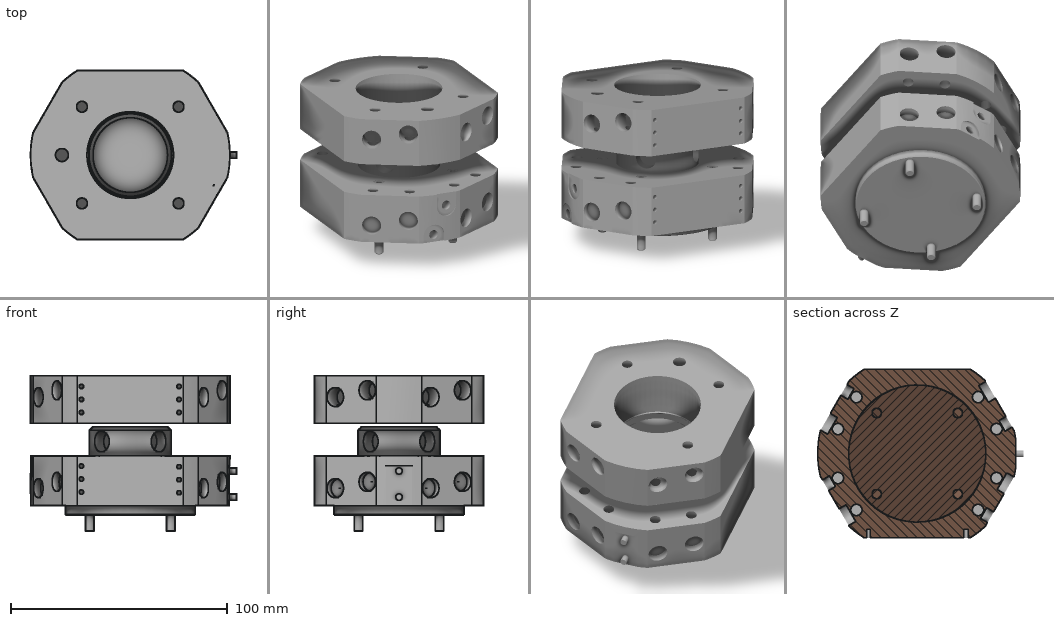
import cadquery as cq
import math


plate_radius = 46.0
side_distance = 39.0
port_face_distance = 44.0
port_face_angles = (30.0, 150.0, 210.0, 330.0)

lower_thickness = 23.0
upper_thickness = 22.0
plate_gap = 15.0
upper_bottom = lower_thickness + plate_gap
upper_top = upper_bottom + upper_thickness

port_diameter = 8.8
port_offset = 8.5
upper_port_depth = 9.3
lower_port_depth = 3.7
upper_port_drops = (6.8, 9.9)
lower_port_drops = (12.0, 14.9)
transfer_diameter = 5.0
transfer_distance = 37.3

side_hole_diameter = 2.0
side_hole_depth = 4.0
side_hole_x = 22.5
side_hole_drops = (5.0, 11.0, 17.0)
lower_left_shift = 0.3

upper_bore_radius = 20.0
bore_lip_radius = 19.25
bore_lip_thickness = 0.15
mount_circle_radius = 31.5
mount_hole_diameter = 5.0
dowel_hole_diameter = 6.0
top_hole_depth = 10.0

hub_radius = 31.5
boss_radius = 19.0
boss_height = 13.5
boss_chamfer = 1.8
pocket_diameter = 9.6
pocket_floor_radius = 12.5
pocket_drop = 6.9
boss_top = lower_thickness + boss_height
collar_radius = 30.0
collar_thickness = 4.3
collar_chamfer = 0.4

screw_offset = 18.7
screw_diameter = 4.0
screw_head_diameter = 9.1
screw_head_height = (screw_head_diameter - screw_diameter) / 2
screw_end = -11.87
screw_end_chamfer = 0.4
head_recess_diameter = 4.9
head_recess_depth = 0.15
socket_across_flats = 2.6
socket_depth = 2.0

pad_floor_x = -45.2
pad_radius = 5.0
pad_offset = 3.2
upper_pad_height = 17.0
lower_pad_height = 3.5
pad_hole_diameter = 4.3
pad_hole_depth = 8.0
drill_point_angle = 118.0

pin_flat_x = 45.6
pin_flat_top = 18.5
pin_diameter = 3.0
pin_start_x = 39.0
pin_end_x = 49.0
pin_heights = (4.0, 16.0)


def cylinder(start, direction, diameter, length):
    """Solid cylinder from a start point along a direction."""
    solid = cq.Solid.makeCylinder(diameter / 2, length, cq.Vector(*start), cq.Vector(*direction))
    return cq.Workplane(solid)


def on_face(angle, distance, offset):
    """XY point at a distance along the face normal and an offset counter-clockwise along the face."""
    a = math.radians(angle)
    x = distance * math.cos(a) - offset * math.sin(a)
    y = distance * math.sin(a) + offset * math.cos(a)
    return x, y


def four_corners(offset):
    """XY points on the two diagonals."""
    return [(sx * offset, sy * offset) for sx in (-1, 1) for sy in (-1, 1)]


def plate_blank(bottom, thickness):
    """Round plate trimmed by two flat sides and two pairs of opposite port faces."""
    blank = cq.Workplane("XY").workplane(offset=bottom).circle(plate_radius).extrude(thickness)
    sides = cq.Workplane("XY").workplane(offset=bottom).rect(2 * plate_radius, 2 * side_distance)
    blank = blank.intersect(sides.extrude(thickness))
    for angle in port_face_angles[:2]:
        faces = cq.Workplane("XY").workplane(offset=bottom).rect(2 * port_face_distance, 2 * plate_radius)
        blank = blank.intersect(faces.extrude(thickness).rotate((0, 0, 0), (0, 0, 1), angle))
    return blank


def cut_ports(plate, top, drops, depth):
    """Two blind ports in each slanted face, the first one of each clockwise pair being the higher."""
    for angle in port_face_angles:
        inward = (-math.cos(math.radians(angle)), -math.sin(math.radians(angle)), 0)
        for offset, drop in zip((port_offset, -port_offset), drops):
            x, y = on_face(angle, port_face_distance, offset)
            plate = plate.cut(cylinder((x, y, top - drop), inward, port_diameter, depth))
    return plate


def cut_transfer_holes(plate, top, drops, mouth):
    """Vertical passages from the mating face (height "mouth") to the port axes."""
    for angle in port_face_angles:
        for offset, drop in zip((port_offset, -port_offset), drops):
            x, y = on_face(angle, transfer_distance, offset)
            rise = top - drop - mouth
            direction = (0, 0, math.copysign(1, rise))
            plate = plate.cut(cylinder((x, y, mouth), direction, transfer_diameter, abs(rise)))
    return plate


def cut_side_holes(plate, top, left_shift):
    """Three small blind holes near each end of the -Y side."""
    for x, shift in ((-side_hole_x, left_shift), (side_hole_x, 0)):
        for drop in side_hole_drops:
            start = (x, -side_distance, top - drop + shift)
            plate = plate.cut(cylinder(start, (0, 1, 0), side_hole_diameter, side_hole_depth))
    return plate


def make_upper_plate():
    plate = plate_blank(upper_bottom, upper_thickness)
    plate = plate.cut(cylinder((0, 0, upper_bottom), (0, 0, 1), 2 * bore_lip_radius, upper_thickness))
    bore_depth = upper_thickness - bore_lip_thickness
    plate = plate.cut(cylinder((0, 0, upper_top), (0, 0, -1), 2 * upper_bore_radius, bore_depth))
    plate = cut_ports(plate, upper_top, upper_port_drops, upper_port_depth)
    plate = cut_transfer_holes(plate, upper_top, upper_port_drops, upper_bottom)
    plate = cut_side_holes(plate, upper_top, 0)
    for x, y in four_corners(mount_circle_radius * math.sqrt(0.5)):
        plate = plate.cut(cylinder((x, y, upper_top), (0, 0, -1), mount_hole_diameter, top_hole_depth))
    dowel_start = (-mount_circle_radius, 0, upper_top)
    return plate.cut(cylinder(dowel_start, (0, 0, -1), dowel_hole_diameter, top_hole_depth))


def pad_cutter(y, height, open_end):
    """U-shaped relief on the -X side, round at one end and running out at height open_end."""
    length = abs(open_end - height)
    relief = plate_radius + pad_floor_x
    round_end = cylinder((pad_floor_x, y, height), (-1, 0, 0), 2 * pad_radius, relief)
    straight = cq.Workplane("XY").box(relief, 2 * pad_radius, length)
    straight = straight.translate((pad_floor_x - relief / 2, y, (height + open_end) / 2))
    return round_end.union(straight)


def drilled_hole(y, height):
    """Drilled hole with a conical bottom, going in from a pad floor."""
    radius = pad_hole_diameter / 2
    point = radius / math.tan(math.radians(drill_point_angle / 2))
    end_x = pad_floor_x + pad_hole_depth
    tip = cq.Solid.makeCone(radius, 0, point, cq.Vector(end_x, y, height), cq.Vector(1, 0, 0))
    hole = cylinder((pad_floor_x, y, height), (1, 0, 0), pad_hole_diameter, pad_hole_depth)
    return hole.union(cq.Workplane(tip))


def make_lower_plate():
    plate = plate_blank(0, lower_thickness)
    plate = plate.cut(cylinder((0, 0, 0), (0, 0, 1), 2 * hub_radius, lower_thickness))
    plate = cut_ports(plate, lower_thickness, lower_port_drops, lower_port_depth)
    plate = cut_transfer_holes(plate, lower_thickness, lower_port_drops, lower_thickness)
    plate = cut_side_holes(plate, lower_thickness, lower_left_shift)
    for y, height, open_end in (
        (-pad_offset, upper_pad_height, lower_thickness),
        (pad_offset, lower_pad_height, 0),
    ):
        plate = plate.cut(pad_cutter(y, height, open_end))
        plate = plate.cut(drilled_hole(y, height))
    flat = cq.Workplane("XY").box(plate_radius, 2 * plate_radius, pin_flat_top, centered=(False, True, False))
    plate = plate.cut(flat.translate((pin_flat_x, 0, 0)))
    for pin in pins:
        plate = plate.cut(pin)
    return plate


def make_pin(height):
    return cylinder((pin_start_x, 0, height), (1, 0, 0), pin_diameter, pin_end_x - pin_start_x)


def screw_blank(x, y):
    """Countersunk screw without its drive, head flush with the lower plate's top."""
    shank_radius = screw_diameter / 2
    profile = [
        (0, screw_end),
        (shank_radius - screw_end_chamfer, screw_end),
        (shank_radius, screw_end + screw_end_chamfer),
        (shank_radius, lower_thickness - screw_head_height),
        (screw_head_diameter / 2, lower_thickness),
        (0, lower_thickness),
    ]
    blank = cq.Workplane("XZ").polyline(profile).close().revolve(360, (0, 0), (0, 1))
    return blank.translate((x, y, 0))


def make_screw(x, y):
    recess = cylinder((x, y, lower_thickness), (0, 0, -1), head_recess_diameter, head_recess_depth)
    socket_corners = socket_across_flats / math.cos(math.radians(30))
    socket = cq.Workplane("XY").workplane(offset=lower_thickness).center(x, y)
    socket = socket.polygon(6, socket_corners).extrude(-socket_depth)
    return screw_blank(x, y).cut(recess).cut(socket)


def make_hub():
    """Hub filling the lower plate's bore, with a chamfered boss carrying four locking pockets."""
    hub = cylinder((0, 0, 0), (0, 0, 1), 2 * hub_radius, lower_thickness)
    boss = cylinder((0, 0, lower_thickness), (0, 0, 1), 2 * boss_radius, boss_height)
    hub = hub.union(boss.faces(">Z").chamfer(boss_chamfer))
    for dx, dy in four_corners(math.sqrt(0.5)):
        start = (dx * pocket_floor_radius, dy * pocket_floor_radius, boss_top - pocket_drop)
        hub = hub.cut(cylinder(start, (dx, dy, 0), pocket_diameter, boss_radius - pocket_floor_radius))
    for x, y in screw_points:
        hub = hub.cut(screw_blank(x, y))
    return hub


def make_collar():
    """Centring disc under the hub."""
    collar = cylinder((0, 0, -collar_thickness), (0, 0, 1), 2 * collar_radius, collar_thickness)
    collar = collar.faces("<Z").chamfer(collar_chamfer)
    for x, y in screw_points:
        collar = collar.cut(screw_blank(x, y))
    return collar


screw_points = four_corners(screw_offset)
screws = [make_screw(x, y) for x, y in screw_points]
pins = [make_pin(height) for height in pin_heights]
upper_plate = make_upper_plate()
lower_plate = make_lower_plate()
hub = make_hub()
collar = make_collar()

result = cq.Compound.makeCompound([
    upper_plate.val(),
    lower_plate.val(),
    hub.val(),
    collar.val(),
    *[screw.val() for screw in screws],
    *[pin.val() for pin in pins],
])